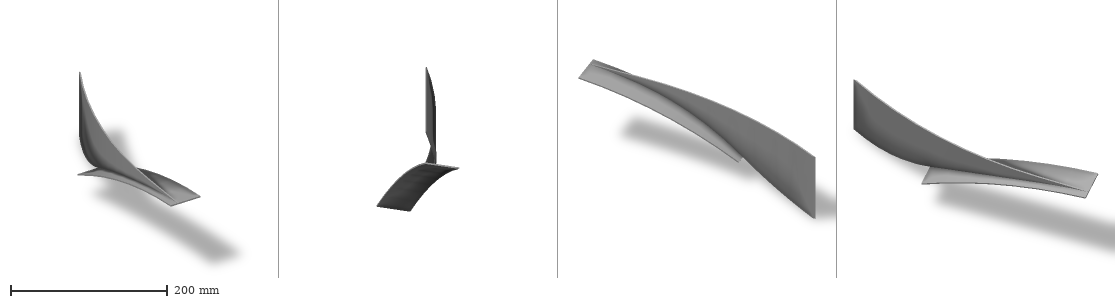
import cadquery as cq
import math

LENGTH = 350.2
DEPTH = 80.0
HEIGHT = 96.5

SHEET = 2.0
PLATE_WIDTH = 44.8
PLATE_START_X = 125.0
PLATE_START_Z = -68.0
BEND_RADIUS = 600.2
WEB_OFFSET = 10.0

bend_rise = DEPTH - WEB_OFFSET
bend_end_x = math.sqrt(BEND_RADIUS**2 - (BEND_RADIUS - bend_rise) ** 2)
bend_center_y = WEB_OFFSET + BEND_RADIUS

run = LENGTH - PLATE_START_X
climb = -SHEET - PLATE_START_Z
chord_slope = math.atan2(climb, run)
half_sweep = math.asin(math.hypot(run, climb) / (2 * BEND_RADIUS))
start_slope = chord_slope + half_sweep
end_slope = chord_slope - half_sweep
plate_center_x = LENGTH + BEND_RADIUS * math.sin(end_slope)
plate_center_z = -SHEET - BEND_RADIUS * math.cos(end_slope)
top_radius = BEND_RADIUS + SHEET


def plate_point(radius, slope):
    """Point (X, Z) where an arc about the plate centre has the given slope angle."""
    return (plate_center_x - radius * math.sin(slope), plate_center_z + radius * math.cos(slope))


def plate_arc(outline, radius, slope_from, slope_to):
    """Extend the outline from its current point along an arc about the plate centre."""
    middle = plate_point(radius, (slope_from + slope_to) / 2)
    return outline.threePointArc(middle, plate_point(radius, slope_to))


def make_plate():
    """Plate curved to one radius, with square-cut ends."""
    outline = cq.Workplane("XZ").moveTo(*plate_point(BEND_RADIUS, start_slope))
    outline = plate_arc(outline, BEND_RADIUS, start_slope, end_slope)
    outline = outline.lineTo(*plate_point(top_radius, end_slope))
    outline = plate_arc(outline, top_radius, end_slope, start_slope)
    return outline.close().extrude(-PLATE_WIDTH)


def web_bend_point(radius, y):
    """Point (X, Y) on the web bend at a given Y."""
    return (bend_end_x - math.sqrt(radius**2 - (bend_center_y - y) ** 2), y)


def make_bent_sheet():
    """Upright sheet over the full height, straight and then bent, cut square at its far Y."""
    inner_radius = BEND_RADIUS - SHEET
    inner_y = WEB_OFFSET + SHEET
    middle_y = WEB_OFFSET + bend_rise / 4
    return (
        cq.Workplane("XY")
        .workplane(offset=-HEIGHT)
        .moveTo(LENGTH, WEB_OFFSET)
        .lineTo(bend_end_x, WEB_OFFSET)
        .threePointArc(web_bend_point(BEND_RADIUS, middle_y), web_bend_point(BEND_RADIUS, DEPTH))
        .lineTo(*web_bend_point(inner_radius, DEPTH))
        .threePointArc(web_bend_point(inner_radius, middle_y + SHEET), (bend_end_x, inner_y))
        .lineTo(LENGTH, inner_y)
        .close()
        .extrude(HEIGHT)
    )


def make_web_profile():
    """Side profile of the web: concave toe, then resting on the plate up to the plate's far end."""
    toe_x, toe_z = plate_point(top_radius, start_slope)
    toe_rise = toe_z + HEIGHT
    toe_radius = (toe_x**2 + toe_rise**2) / (2 * toe_rise)
    toe_middle_x = toe_x / 2
    toe_middle_z = -HEIGHT + toe_radius - math.sqrt(toe_radius**2 - toe_middle_x**2)
    outline = (
        cq.Workplane("XZ")
        .moveTo(0, 0)
        .lineTo(0, -HEIGHT)
        .threePointArc((toe_middle_x, toe_middle_z), (toe_x, toe_z))
    )
    outline = plate_arc(outline, top_radius, start_slope, end_slope)
    return outline.close().extrude(-DEPTH)


plate = make_plate()
web = make_bent_sheet().intersect(make_web_profile())

result = cq.Compound.makeCompound([plate.val(), *web.solids().vals()])